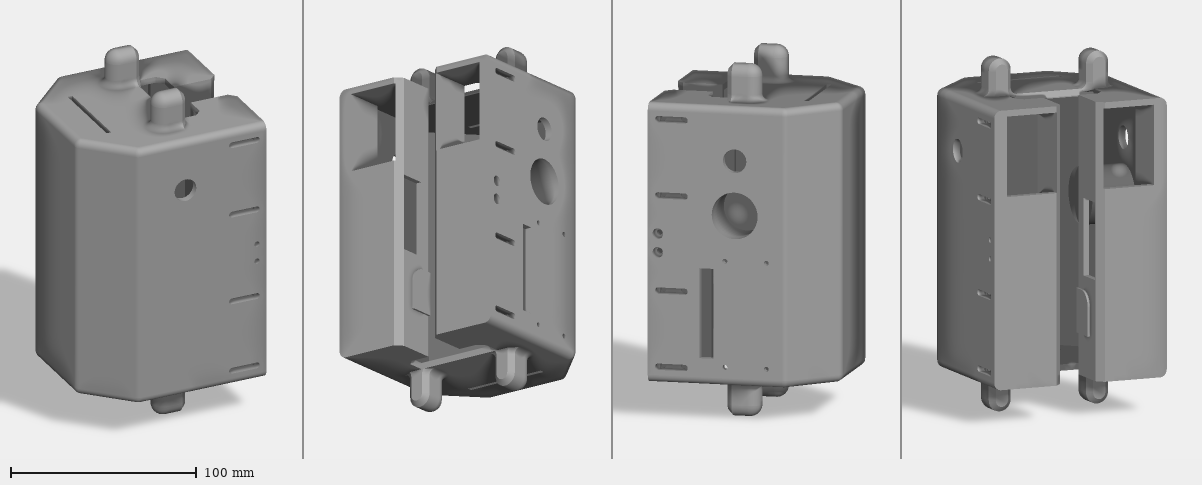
import cadquery as cq
import math

width = 101.5
depth = 101.5
total_height = 193.0
post_height = 20.0
height = total_height - 2 * post_height
corner_cut = 25.3
edge_radius = 4.0
wall = 4.0
end_plate = 3.5
half_width = width / 2
half_height = height / 2

mouth_half_width = 10.5
mouth_depth = 25.9
mouth_chamfer = 3.9
notch_half_width = 25.5
notch_depth = 39.5
notch_chamfer = 3.9
rim_chamfer = 2.9

jaw_wall = 3.3
jaw_back_wall = 4.0
jaw_back_top = 29.0
jaw_plate = 3.5
jaw_plate_depth = 24.1
window_height = 42.5
window_front = 19.3

pad_projection = 1.4
pad_back = 11.0
pad_radius = 8.1
pad_top = -29.0
pad_height = 24.3

post_diameter = 13.0
post_radius = post_diameter / 2
post_spacing = 57.3
post_x = post_spacing / 2
post_center_depth = 51.3
post_flare = 3.5

slit_length = 48.6
slit_width = 2.7
slit_depth_position = 81.3

cross_hole_diameter = 13.0
cross_hole_z = 46.7
side_feature_depth = 48.3
socket_diameter = 25.5
socket_z = 16.8
socket_wall = 3.0
socket_outer_length = 29.3
screw_diameter = 3.0
screw_head_diameter = 5.8
screw_depth_position = 5.6
screw_spacing = 10.2
mount_diameter = 2.7
mount_depths = (42.9, 65.8)
mount_heights = (-8.3, -66.5)

opening_back = 28.8
opening_width = 7.7
opening_top = -12.7
opening_height = 49.2

slot_width = 3.5
slot_length = 18.1
slot_middle_depth = 13.1
slot_heights = (67.8, 26.0, -26.0, -67.8)
groove_length = slot_length - slot_width
groove_depth = 1.2
jaw_hole_diameter = 3.0
jaw_hole_depth = 2.3
jaw_hole_spacing = 11.2

inner_x = half_width - wall
inner_z = half_height - end_plate


def block(x_min, x_max, back, front, z_min, z_max):
    """Box given by its X range, its depths behind and in front, and its Z range."""
    return cq.Workplane("XY").box(
        x_max - x_min, front - back, z_max - z_min, centered=False
    ).translate((x_min, -front, z_min))


def rod_along_x(diameter, x_min, x_max, at_depth, z):
    """Cylinder along X between two X positions."""
    return (
        cq.Workplane("YZ", origin=(x_min, -at_depth, z))
        .circle(diameter / 2)
        .extrude(x_max - x_min)
    )


def both_sides(shape):
    """A shape together with its mirror image across the YZ plane."""
    return shape.union(shape.mirror("YZ"))


def outer_shell():
    """Hollow body with two cut front corners, open at the back."""
    body = (
        block(-half_width, half_width, 0, depth, -half_height, half_height)
        .edges("|Z and <Y")
        .chamfer(corner_cut)
    )
    cavity = (
        block(-inner_x, inner_x, 0, depth - wall, -inner_z, inner_z)
        .edges("|Z and <Y")
        .chamfer(corner_cut - wall * (2 - math.sqrt(2)))
    )
    body = body.edges("|Z and (not >Y)").fillet(edge_radius)
    body = body.faces("<Z or >Z").edges("not >Y").fillet(edge_radius)
    return body.cut(cavity)


def notch():
    """T-shaped notch with chamfered corners, cut through both end plates."""
    right_half = [
        (0, 0),
        (mouth_half_width + mouth_chamfer, 0),
        (mouth_half_width, -mouth_chamfer),
        (mouth_half_width, -mouth_depth),
        (notch_half_width - notch_chamfer, -mouth_depth),
        (notch_half_width, -mouth_depth - notch_chamfer),
        (notch_half_width, -notch_depth),
        (0, -notch_depth),
    ]
    half = cq.Workplane("XY", origin=(0, 0, -half_height)).polyline(right_half).close().extrude(height)
    return both_sides(half)


def rim_bevel():
    """Wedge that bevels the notch edge of the upper end plate."""
    return (
        cq.Workplane("YZ", origin=(-notch_half_width, -notch_depth, half_height))
        .polyline([(0, 0), (-rim_chamfer, 0), (0, -rim_chamfer)])
        .close()
        .extrude(2 * notch_half_width)
    )


def post_half_profile():
    """Right half of the post outline, from its foot in the end plate to the top of the dome."""
    diagonal = math.sqrt(0.5)
    dome_center = post_height - post_radius
    flare_x = post_radius + post_flare
    return (
        cq.Workplane("XZ")
        .moveTo(0, -end_plate)
        .lineTo(flare_x, -end_plate)
        .lineTo(flare_x, 0)
        .threePointArc(
            (flare_x - post_flare * diagonal, post_flare * (1 - diagonal)),
            (post_radius, post_flare),
        )
        .lineTo(post_radius, dome_center)
        .threePointArc(
            (post_radius * diagonal, dome_center + post_radius * diagonal),
            (0, post_height),
        )
    )


def post():
    """Domed post with a flared foot: round at the front, straight and bevelled at the back."""
    straight_length = post_center_depth - notch_depth - rim_chamfer
    round_front = post_half_profile().close().revolve(360, (0, 0), (0, 1))
    outline = post_half_profile().mirrorY().wires().val()
    straight = cq.Workplane("XZ").add(outline).toPending().extrude(-straight_length)
    end_outline = outline.translate(cq.Vector(0, straight_length, 0))
    bevel = (
        cq.Workplane("XZ", origin=(0, straight_length, 0))
        .add(end_outline)
        .toPending()
        .extrude(-rim_chamfer, taper=45)
    )
    return round_front.union(straight).union(bevel)


def posts():
    """Two posts on the upper end plate and two on the lower one."""
    upper = both_sides(post().translate((post_x, -post_center_depth, half_height)))
    return upper.union(upper.mirror("XY"))


def side_cuts():
    """Holes and openings in the side walls."""
    cuts = rod_along_x(cross_hole_diameter, -half_width, half_width, side_feature_depth, cross_hole_z)
    cuts = cuts.union(
        rod_along_x(
            socket_diameter,
            -half_width,
            socket_outer_length - half_width - socket_wall,
            side_feature_depth,
            socket_z,
        )
    )
    cuts = cuts.union(screw_shanks(-half_width, half_width))
    for z in (-screw_spacing / 2, screw_spacing / 2):
        head = rod_along_x(screw_head_diameter, -half_width, -inner_x, screw_depth_position, z)
        cuts = cuts.union(head)
    for mount_depth in mount_depths:
        for z in mount_heights:
            cuts = cuts.union(rod_along_x(mount_diameter, -half_width, -inner_x, mount_depth, z))
    opening = block(
        -half_width,
        -inner_x,
        opening_back,
        opening_back + opening_width,
        opening_top - opening_height,
        opening_top,
    )
    return cuts.union(opening)


def slot_cuts():
    """Round-ended slots through both side walls."""
    middles = [(-slot_middle_depth, z) for z in slot_heights]
    slots = (
        cq.Workplane("YZ", origin=(inner_x, 0, 0))
        .pushPoints(middles)
        .slot2D(slot_length, slot_width)
        .extrude(wall)
    )
    return both_sides(slots)


def screw_shanks(x_min, x_max):
    """Pair of screw holes between two X positions."""
    upper = rod_along_x(screw_diameter, x_min, x_max, screw_depth_position, screw_spacing / 2)
    return upper.union(upper.mirror("XY"))


def make_housing():
    """Housing with its arms, posts and socket."""
    body = outer_shell().cut(notch()).cut(rim_bevel())
    body = body.union(posts())
    socket = rod_along_x(
        socket_diameter + 2 * socket_wall,
        -inner_x,
        socket_outer_length - half_width,
        side_feature_depth,
        socket_z,
    )
    slit = block(
        -slit_length / 2,
        slit_length / 2,
        slit_depth_position - slit_width / 2,
        slit_depth_position + slit_width / 2,
        -half_height,
        half_height,
    )
    return body.union(socket).cut(slit).cut(side_cuts()).cut(slot_cuts())


def jaw_blank():
    """Walls of the right jaw before drilling."""
    wall_x = mouth_half_width + jaw_wall
    plate_x = inner_x - jaw_plate
    mouth_wall = block(mouth_half_width, wall_x, 0, mouth_depth, -inner_z, inner_z)
    window = block(
        mouth_half_width, wall_x, jaw_back_wall, window_front, -window_height / 2, window_height / 2
    )
    back_wall = block(mouth_half_width, inner_x, 0, jaw_back_wall, -inner_z, jaw_back_top)
    plate = block(plate_x, inner_x, 0, jaw_plate_depth, -inner_z, inner_z)
    return mouth_wall.cut(window).union(back_wall).union(plate).cut(notch())


def jaw_slot_features(z):
    """Groove behind one slot, with a blind hole near each end."""
    back = slot_middle_depth - groove_length / 2
    front = slot_middle_depth + groove_length / 2
    features = block(
        inner_x - groove_depth, inner_x, back, front, z - slot_width / 2, z + slot_width / 2
    )
    for offset in (-jaw_hole_spacing / 2, jaw_hole_spacing / 2):
        features = features.union(
            rod_along_x(jaw_hole_diameter, inner_x - jaw_hole_depth, inner_x, slot_middle_depth + offset, z)
        )
    return features


def make_jaw(side):
    """Jaw for the right arm (side = 1) or the left arm (side = -1)."""
    jaw = jaw_blank().cut(screw_shanks(inner_x - jaw_plate, inner_x))
    for z in slot_heights:
        jaw = jaw.cut(jaw_slot_features(z))
    return jaw if side > 0 else jaw.mirror("YZ")


def make_pad(side):
    """Thin pad on the mouth face of a jaw, with its upper back corner rounded."""
    pad = block(
        mouth_half_width - pad_projection,
        mouth_half_width,
        pad_back,
        mouth_depth,
        pad_top - pad_height,
        pad_top,
    )
    pad = pad.edges("|X and >Y and >Z").fillet(pad_radius)
    return pad if side > 0 else pad.mirror("YZ")


sides = (-1, 1)
housing = make_housing()
jaws = [make_jaw(side) for side in sides]
pads = [make_pad(side) for side in sides]

bodies = [housing, *jaws, *pads]
result = cq.Compound.makeCompound([body.solids().val() for body in bodies])